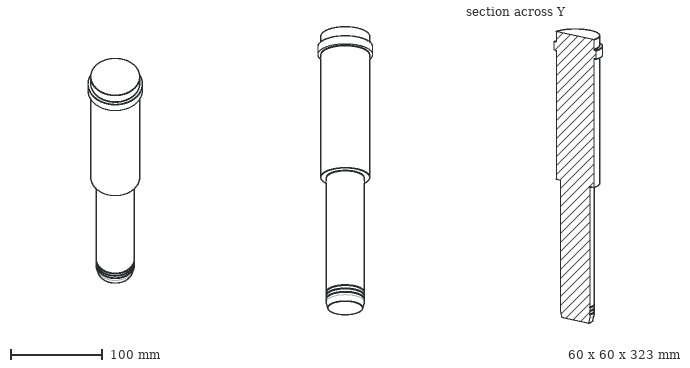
import cadquery as cq

total_height = 323.0
edge_chamfer = 0.5

sleeve_diameter = 54.0
sleeve_length = 168.0
collar_diameter = 60.0
collar_thickness = 10.0
collar_top_setback = 12.0

pin_diameter = 42.0
tip_diameter = 38.5
tip_height = 7.0

groove_count = 3
groove_width = 1.0
groove_depth = 0.3
groove_pitch = 4.0

sleeve_base = total_height - sleeve_length
collar_top = total_height - collar_top_setback
collar_base = collar_top - collar_thickness
lowest_groove_base = tip_height + groove_pitch - groove_width


def cylinder(diameter, base, height):
    """Vertical cylinder on the part axis, starting at height `base`."""
    return cq.Workplane("XY").workplane(offset=base).circle(diameter / 2).extrude(height)


def ring_groove(shaft_diameter, base):
    """Ring of material to remove from the surface of a shaft."""
    outer = cylinder(shaft_diameter + 2 * groove_depth, base, groove_width)
    core = cylinder(shaft_diameter - 2 * groove_depth, base, groove_width)
    return outer.cut(core)


def tapered_pin():
    """Solid pin through the full height, with a conical lead-in at the bottom."""
    pin_radius = pin_diameter / 2
    half_profile = (
        cq.Workplane("XZ")
        .moveTo(0, 0)
        .lineTo(tip_diameter / 2, 0)
        .lineTo(pin_radius, tip_height)
        .lineTo(pin_radius, total_height)
        .lineTo(0, total_height)
        .close()
    )
    pin = half_profile.revolve(360, (0, 0, 0), (0, 1, 0))
    return pin.faces("<Z").edges().chamfer(edge_chamfer)


def grooved_pin():
    """Pin with its row of ring grooves and the relief under the sleeve."""
    pin = tapered_pin()
    for index in range(groove_count):
        pin = pin.cut(ring_groove(pin_diameter, lowest_groove_base + index * groove_pitch))
    return pin.cut(ring_groove(pin_diameter, sleeve_base - groove_width))


def relieved_sleeve():
    """Sleeve with both rims chamfered and a relief on each side of the collar."""
    sleeve = cylinder(sleeve_diameter, sleeve_base, sleeve_length)
    sleeve = sleeve.edges("%CIRCLE").chamfer(edge_chamfer)
    for relief_base in (collar_top, collar_base - groove_width):
        sleeve = sleeve.cut(ring_groove(sleeve_diameter, relief_base))
    return sleeve


def collar():
    """Collar with its upper rim chamfered."""
    ring = cylinder(collar_diameter, collar_base, collar_thickness)
    return ring.faces(">Z").edges().chamfer(edge_chamfer)


result = grooved_pin().union(relieved_sleeve()).union(collar())